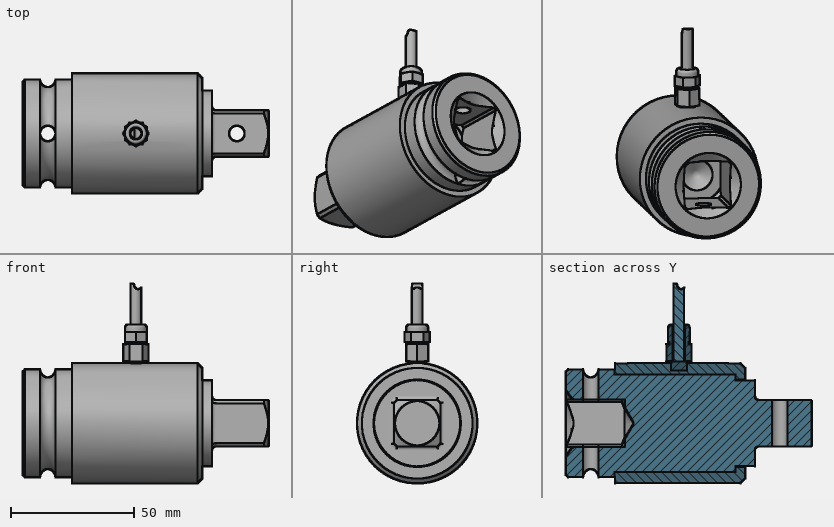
import cadquery as cq
import math

total_length = 100.0
pin_hole_diameter = 6.2
pin_hole_x = 10.2

socket_diameter = 44.0
socket_chamfer = 1.0
pilot_diameter = 40.0
collar_diameter = 35.0
shoulder_x = 20.0
collar_end_x = 77.0
groove_radius = pin_hole_diameter / 2

drive_size = 19.0
drive_corner_diameter = 25.0
drive_root_fillet = 1.4
drive_end_diameter = 18.0
drive_chamfer_angle = 30.0
drive_hole_x = 87.0

socket_size = 19.1
socket_corner_chamfer = 1.0
socket_depth = 24.0
socket_floor_diameter = 22.2
mouth_diameter = 27.0
mouth_inner_diameter = 20.3
mouth_depth = 2.4
mouth_throat_depth = 0.8
centre_pit_diameter = 12.6
centre_pit_depth = 3.6

sleeve_diameter = 49.0
sleeve_end_x = 73.0
sleeve_chamfer = 2.0
sleeve_lip_bore = 35.5
sleeve_lip_length = 4.0

gland_x = 46.0
hex_size = 9.0
stem_diameter = 6.2
stem_depth = 3.0
neck_diameter = 8.0
cap_diameter = 9.03
cable_hole_diameter = 4.92
stem_height = 0.6
lower_hex_height = 7.0
neck_height = 0.9
upper_hex_height = 4.15
cap_height = 3.0
cap_edge_height = 1.5
cap_edge_bulge = 0.16
rim_outer_diameter = 8.0
rim_outer_drop = 0.35
rim_crest_diameter = 6.6
rim_inner_drop = 0.8

cable_diameter = 4.5
cable_top_z = 56.84
break_edge_drop = 0.2
break_crest_offset = -1.65
break_middle_offset = -0.6
break_middle_drop = 1.1
break_valley_offset = 0.75
break_valley_drop = 2.3
break_far_edge_drop = 1.6

sleeve_radius = sleeve_diameter / 2
sleeve_lip_x = sleeve_end_x - sleeve_lip_length
stem_bottom_z = sleeve_radius - stem_depth
lower_hex_z = sleeve_radius + stem_height
neck_z = lower_hex_z + lower_hex_height
upper_hex_z = neck_z + neck_height
cap_z = upper_hex_z + upper_hex_height
cap_top_z = cap_z + cap_height


def x_cylinder(diameter, start_x, end_x):
    """Cylinder on the tool axis."""
    return cq.Workplane("YZ").workplane(offset=start_x).circle(diameter / 2).extrude(end_x - start_x)


def x_cone(start_diameter, end_diameter, start_x, end_x):
    """Cone on the tool axis; either diameter may be zero."""
    outline = cq.Workplane("XY").moveTo(start_x, 0).lineTo(end_x, 0)
    if end_diameter > 0:
        outline = outline.lineTo(end_x, end_diameter / 2)
    if start_diameter > 0:
        outline = outline.lineTo(start_x, start_diameter / 2)
    return outline.close().revolve(360, (0, 0, 0), (1, 0, 0))


def z_cylinder(diameter, bottom_z, top_z):
    """Cylinder on the gland axis."""
    return (
        cq.Workplane("XY", origin=(gland_x, 0, bottom_z)).circle(diameter / 2).extrude(top_z - bottom_z)
    )


def z_hexagon(bottom_z, height, turn):
    """Hexagonal prism on the gland axis; at zero turn two corners lie along X."""
    corner_diameter = hex_size / math.cos(math.radians(30))
    return (
        cq.Workplane("XY", origin=(gland_x, 0, bottom_z))
        .transformed(rotate=(0, 0, turn))
        .polygon(6, corner_diameter)
        .extrude(height)
    )


def cross_hole(x):
    """Pin hole running along Z through the whole shaft."""
    return (
        cq.Workplane("XY").center(x, 0).circle(pin_hole_diameter / 2).extrude(socket_diameter, both=True)
    )


def turned_blank():
    """Socket end with its pin groove, sleeve pilot and collar."""
    socket_radius = socket_diameter / 2
    return (
        cq.Workplane("XY")
        .moveTo(0, 0)
        .lineTo(0, socket_radius - socket_chamfer)
        .lineTo(socket_chamfer, socket_radius)
        .lineTo(pin_hole_x - groove_radius, socket_radius)
        .threePointArc(
            (pin_hole_x, socket_radius - groove_radius), (pin_hole_x + groove_radius, socket_radius)
        )
        .lineTo(shoulder_x, socket_radius)
        .lineTo(shoulder_x, pilot_diameter / 2)
        .lineTo(sleeve_lip_x, pilot_diameter / 2)
        .lineTo(sleeve_lip_x, collar_diameter / 2)
        .lineTo(collar_end_x, collar_diameter / 2)
        .lineTo(collar_end_x, 0)
        .close()
        .revolve(360, (0, 0, 0), (1, 0, 0))
    )


def square_drive():
    """Square with its corners turned down and its end bevelled by a cone."""
    cone_drop = (drive_corner_diameter - drive_end_diameter) / 2
    cone_start_x = total_length - cone_drop * math.tan(math.radians(drive_chamfer_angle))
    square = (
        cq.Workplane("YZ")
        .workplane(offset=collar_end_x)
        .rect(drive_size, drive_size)
        .extrude(total_length - collar_end_x)
    )
    turned = x_cylinder(drive_corner_diameter, collar_end_x, cone_start_x).union(
        x_cone(drive_corner_diameter, drive_end_diameter, cone_start_x, total_length)
    )
    return square.intersect(turned)


def square_socket():
    """Square pocket with a conical mouth and throat, bevelled floor corners and a conical centre pit."""
    corner_diameter = math.sqrt(2) * (socket_size - socket_corner_chamfer)
    floor_cone_x = socket_depth - (corner_diameter - socket_floor_diameter) / 2
    square = (
        cq.Workplane("YZ")
        .rect(socket_size, socket_size)
        .extrude(socket_depth)
        .edges("|X")
        .chamfer(socket_corner_chamfer)
    )
    bevelled_end = x_cylinder(mouth_diameter, 0, floor_cone_x).union(
        x_cone(mouth_diameter, socket_floor_diameter, floor_cone_x, socket_depth)
    )
    mouth = x_cone(mouth_diameter, mouth_inner_diameter, 0, mouth_depth)
    throat = x_cone(mouth_inner_diameter, socket_size, mouth_depth, mouth_depth + mouth_throat_depth)
    pit = x_cone(centre_pit_diameter, 0, socket_depth, socket_depth + centre_pit_depth)
    return square.intersect(bevelled_end).union(mouth).union(throat).union(pit)


def make_shaft():
    """Turned blank with the filleted square drive, the square socket and both pin holes."""
    collar_face_point = (collar_end_x, 0, 0)
    shaft = turned_blank().union(square_drive())
    collar_face = shaft.faces(cq.selectors.NearestToPointSelector(collar_face_point))
    root_wire = collar_face.wires(cq.selectors.LengthNthSelector(0))
    shaft = root_wire.edges().fillet(drive_root_fillet)
    shaft = shaft.cut(square_socket())
    for x in (pin_hole_x, drive_hole_x):
        shaft = shaft.cut(cross_hole(x))
    return shaft


def make_sleeve():
    """Tube seated on the pilot, with an end lip clear of the collar and a seat for the gland."""
    tube = x_cylinder(sleeve_diameter, shoulder_x, sleeve_end_x).faces(">X").chamfer(sleeve_chamfer)
    pilot_bore = x_cylinder(pilot_diameter, shoulder_x, sleeve_lip_x)
    lip_bore = x_cylinder(sleeve_lip_bore, sleeve_lip_x, sleeve_end_x)
    gland_seat = z_cylinder(stem_diameter, stem_bottom_z, sleeve_diameter)
    return tube.cut(pilot_bore).cut(lip_bore).cut(gland_seat)


def gland_cap():
    """Round cap with an eased outer edge and a rim that rolls into the cable hole."""
    cap_radius = cap_diameter / 2
    hole_radius = cable_hole_diameter / 2
    rim_radius = rim_outer_diameter / 2
    return (
        cq.Workplane("XZ")
        .moveTo(0, cap_z)
        .lineTo(cap_radius, cap_z)
        .lineTo(cap_radius, cap_top_z - cap_edge_height)
        .sagittaArc((rim_radius, cap_top_z - rim_outer_drop), -cap_edge_bulge)
        .threePointArc(
            (rim_crest_diameter / 2, cap_top_z), (hole_radius, cap_top_z - rim_inner_drop)
        )
        .lineTo(0, cap_top_z - rim_inner_drop)
        .close()
        .revolve(360, (0, 0, 0), (0, 1, 0))
        .translate((gland_x, 0, 0))
    )


def make_gland():
    """Stem, two hexagons turned against each other and the cap, bored for the cable."""
    gland = (
        z_cylinder(stem_diameter, stem_bottom_z, lower_hex_z)
        .union(z_hexagon(lower_hex_z, lower_hex_height, 0))
        .union(z_cylinder(neck_diameter, neck_z, upper_hex_z))
        .union(z_hexagon(upper_hex_z, upper_hex_height, 30))
        .union(gland_cap())
    )
    return gland.cut(z_cylinder(cable_hole_diameter, lower_hex_z, cap_top_z))


def make_cable():
    """Cable standing on the floor of the gland hole, its top broken off in an S-shaped curve."""
    half = cable_diameter / 2
    profile = (
        cq.Workplane("XZ", origin=(gland_x, 0, 0))
        .moveTo(-half, lower_hex_z)
        .lineTo(-half, cable_top_z - break_edge_drop)
        .threePointArc(
            (break_crest_offset, cable_top_z), (break_middle_offset, cable_top_z - break_middle_drop)
        )
        .threePointArc(
            (break_valley_offset, cable_top_z - break_valley_drop), (half, cable_top_z - break_far_edge_drop)
        )
        .lineTo(half, lower_hex_z)
        .close()
        .extrude(cable_diameter, both=True)
    )
    return profile.intersect(z_cylinder(cable_diameter, lower_hex_z, cable_top_z + cable_diameter))


shaft = make_shaft()
sleeve = make_sleeve()
gland = make_gland()
cable = make_cable()

result = cq.Compound.makeCompound([shaft.val(), sleeve.val(), gland.val(), cable.val()])